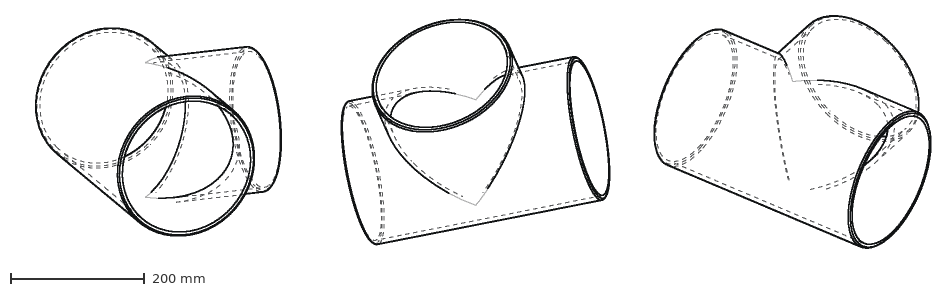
import cadquery as cq

OUTER_DIAMETER = 219.075
WALL = 7.04
CENTRE_TO_END = 177.8
BEVEL = WALL / 3

OUTER_RADIUS = OUTER_DIAMETER / 2
INNER_RADIUS = OUTER_RADIUS - WALL

CENTRE = cq.Vector(0, 0, 0)
X_AXIS = cq.Vector(1, 0, 0)
Y_AXIS = cq.Vector(0, 1, 0)
LEG_DIRECTIONS = (X_AXIS, -X_AXIS, Y_AXIS)


def solid_leg(direction):
    """Solid leg from the tee centre to one end, with the end bevelled."""
    straight_length = CENTRE_TO_END - BEVEL
    cylinder = cq.Solid.makeCylinder(OUTER_RADIUS, straight_length, CENTRE, direction)
    bevelled_end = cq.Solid.makeCone(
        OUTER_RADIUS,
        OUTER_RADIUS - BEVEL,
        BEVEL,
        direction * straight_length,
        direction,
    )
    return cq.Workplane(obj=cylinder).union(cq.Workplane(obj=bevelled_end))


def bore(start, direction, length):
    """Cylinder that opens the inside of a pipe."""
    return cq.Workplane(obj=cq.Solid.makeCylinder(INNER_RADIUS, length, start, direction))


def tee_body():
    """The three bevelled legs joined at the tee centre, before boring."""
    body = cq.Workplane()
    for direction in LEG_DIRECTIONS:
        body = body.add(solid_leg(direction))
    return body.combine()


run_bore = bore(X_AXIS * -CENTRE_TO_END, X_AXIS, 2 * CENTRE_TO_END)
branch_bore = bore(CENTRE, Y_AXIS, CENTRE_TO_END)

result = tee_body().cut(run_bore).cut(branch_bore)